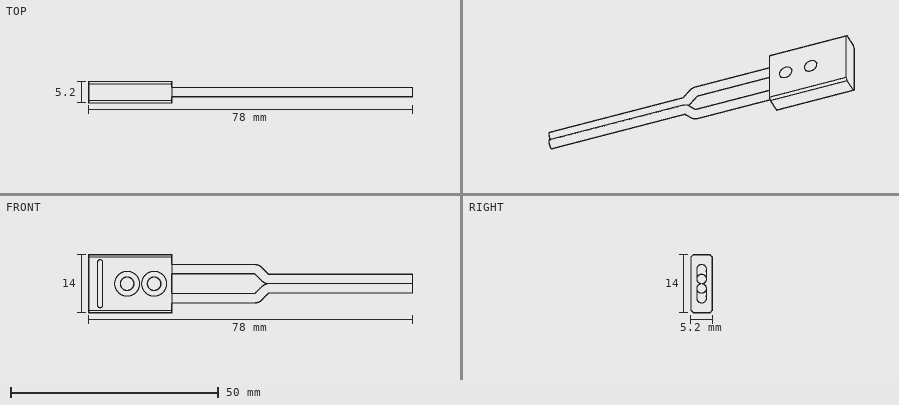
import cadquery as cq
import math

BLOCK_LENGTH = 20.0
BLOCK_THICKNESS = 5.2
BLOCK_HEIGHT = 14.0
BLOCK_CHAMFER = 0.6
FRONT_Y = -BLOCK_THICKNESS / 2

HOLE_DIAMETER = 3.2
COUNTERSINK_DIAMETER = 6.0
COUNTERSINK_ANGLE = 90.0
FIRST_HOLE_X = 9.25
HOLE_SPACING = 6.5
HOLE_COUNT = 2

GROOVE_X = 2.75
GROOVE_LENGTH = 11.6
GROOVE_WIDTH = 1.2
GROOVE_DEPTH = 0.1

OVERALL_LENGTH = 78.0
WIRE_DIAMETER = 2.3
WIRE_OVERLAP = 0.02
WIRE_APART_Z = 3.5
WIRE_TOGETHER_Z = (WIRE_DIAMETER - WIRE_OVERLAP) / 2
BEND_START_X = 40.0
BEND_RADIUS = 1.2
BEND_ANGLE = math.radians(45)
WIRE_EMBED = 1.0


def make_block():
    block = cq.Workplane("XY").box(
        BLOCK_LENGTH, BLOCK_THICKNESS, BLOCK_HEIGHT, centered=(False, True, True)
    )
    return block.edges("|X").chamfer(BLOCK_CHAMFER)


def cut_screw_holes(block):
    hole_points = [(FIRST_HOLE_X + i * HOLE_SPACING, 0) for i in range(HOLE_COUNT)]
    return (
        block.copyWorkplane(cq.Workplane("XZ", origin=(0, FRONT_Y, 0)))
        .pushPoints(hole_points)
        .cskHole(HOLE_DIAMETER, COUNTERSINK_DIAMETER, COUNTERSINK_ANGLE)
    )


def make_groove():
    return (
        cq.Workplane("XZ", origin=(GROOVE_X, FRONT_Y, 0))
        .slot2D(GROOVE_LENGTH, GROOVE_WIDTH, 90)
        .extrude(-GROOVE_DEPTH)
    )


def make_upper_wire():
    """Sweep a round wire that bends down towards the X axis and then back level."""
    bend_run = BEND_RADIUS * math.sin(BEND_ANGLE)
    bend_drop = BEND_RADIUS * (1 - math.cos(BEND_ANGLE))
    half_run = BEND_RADIUS * math.sin(BEND_ANGLE / 2)
    half_drop = BEND_RADIUS * (1 - math.cos(BEND_ANGLE / 2))

    slope_drop = WIRE_APART_Z - WIRE_TOGETHER_Z - 2 * bend_drop
    slope_start_x = BEND_START_X + bend_run
    slope_start_z = WIRE_APART_Z - bend_drop
    slope_end_x = slope_start_x + slope_drop / math.tan(BEND_ANGLE)
    slope_end_z = slope_start_z - slope_drop
    bend_end_x = slope_end_x + bend_run

    wire_start_x = BLOCK_LENGTH - WIRE_EMBED
    path = (
        cq.Workplane("XZ")
        .moveTo(wire_start_x, WIRE_APART_Z)
        .lineTo(BEND_START_X, WIRE_APART_Z)
        .threePointArc(
            (BEND_START_X + half_run, WIRE_APART_Z - half_drop),
            (slope_start_x, slope_start_z),
        )
        .lineTo(slope_end_x, slope_end_z)
        .threePointArc(
            (bend_end_x - half_run, WIRE_TOGETHER_Z + half_drop),
            (bend_end_x, WIRE_TOGETHER_Z),
        )
        .lineTo(OVERALL_LENGTH, WIRE_TOGETHER_Z)
    )
    profile = cq.Workplane("YZ", origin=(wire_start_x, 0, WIRE_APART_Z)).circle(WIRE_DIAMETER / 2)
    return profile.sweep(path)


block = cut_screw_holes(make_block()).cut(make_groove())
upper_wire = make_upper_wire()
lower_wire = upper_wire.mirror("XY")

result = block.union(upper_wire).union(lower_wire)